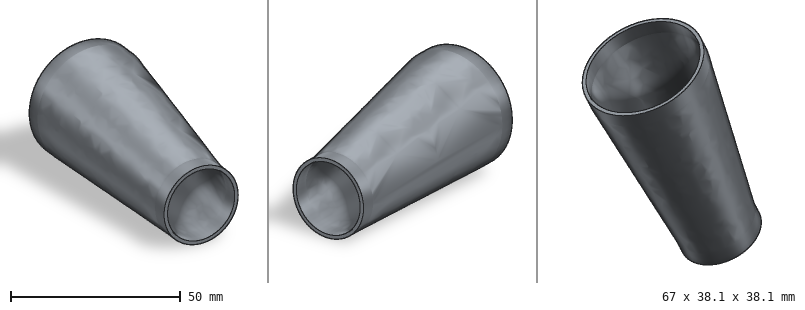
import cadquery as cq

total_length = 67.0
collar_length = 5.0
wall = 1.2
large_diameter = 38.1
small_diameter = 25.4

taper_length = total_length - 2 * collar_length
small_axis_z = -(large_diameter - small_diameter) / 2


def collar(start_x, axis_z, diameter):
    """Straight round end section."""
    return (
        cq.Workplane("YZ", origin=(start_x, 0, axis_z))
        .circle(diameter / 2)
        .extrude(collar_length)
    )


def taper(start_diameter, end_diameter):
    """Oblique cone that joins the two end sections."""
    return (
        cq.Workplane("YZ", origin=(collar_length, 0, 0))
        .circle(start_diameter / 2)
        .workplane(offset=taper_length)
        .center(0, small_axis_z)
        .circle(end_diameter / 2)
        .loft(ruled=True)
    )


def reducer_body(inset):
    """Solid reducer shape, with its surface moved inward by inset."""
    start_diameter = large_diameter - 2 * inset
    end_diameter = small_diameter - 2 * inset
    large_collar = collar(0, 0, start_diameter)
    small_collar = collar(total_length - collar_length, small_axis_z, end_diameter)
    return large_collar.union(taper(start_diameter, end_diameter)).union(small_collar)


outer_body = reducer_body(0)
bore = reducer_body(wall)
result = outer_body.cut(bore)